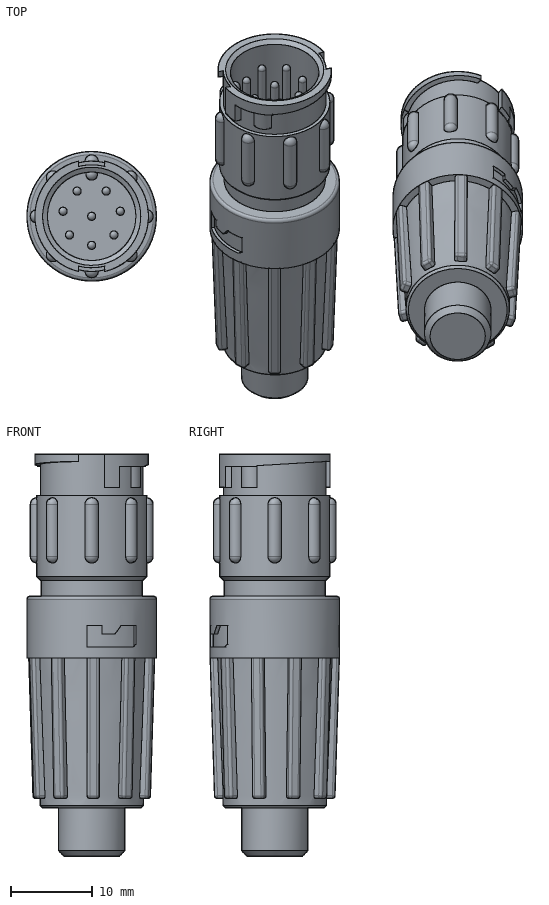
import cadquery as cq
import math

STEM_BOTTOM = 0.0
GRIP_BOTTOM = 5.97
RIB_FOOT = 7.13
COLLAR_BOTTOM = 24.45
COLLAR_TOP = 32.1
RING_BOTTOM = 34.0
RING_TOP = 44.5
PLUG_TOP = 49.59

STEM_RADIUS = 4.1
STEM_CHAMFER = 0.7
GRIP_END_RADIUS = 6.38
GRIP_END_CHAMFER = 0.3
GRIP_TOP_RADIUS = 7.1
COLLAR_RADIUS = 8.0
COLLAR_FILLET = 0.4
NECK_RADIUS = 6.25
RING_RADIUS = 6.8
RING_CHAMFER = 0.5
PLUG_RADIUS = 6.35

BORE_RADIUS = 5.45
BORE_FLOOR = 40.5
BORE_MOUTH_RADIUS = 6.05
BORE_CHAMFER_DEPTH = 0.4
PIN_RADIUS = 0.5
PIN_CIRCLE_RADIUS = 3.58
PIN_STEP = 50
PINS_ON_CIRCLE = 7
PIN_TIP = 47.6
KEY_RADIUS = 0.7
KEY_OFFSET = 5.15
KEY_TIP = 48.7

RIM_RADIUS = 7.0
RIM_SLOT_HALF = 1.6
RIM_THIN_Z = 48.73
RIM_THICK_Z = 48.18
RIM_FLAT_Z = 48.05
LEG_BOTTOM = 45.5
LEG_OUTER_X = 3.43
BUMP_PEAK_RADIUS = 6.76
BUMP_ANGLE = 60
BUMP_HALF_ANGLE = 10

RING_RIBS = 8
RING_RIB_RADIUS = 0.83
RING_RIB_OFFSET = 6.75
RING_RIB_BOTTOM = 37.0
RING_RIB_TOP = 43.4

GRIP_RIBS = 10
GRIP_RIB_TURN = 1.6
GRIP_RIB_ROOT_RADIUS = 5.5
GRIP_RIB_WIDTH = 1.5
GRIP_RIB_FOOT_RADIUS = 7.42
GRIP_RIB_TOP_RADIUS = 7.97
GRIP_RIB_FILLET = 0.35

MARK_FLOOR_RADIUS = 7.6
MARK_BOTTOM = 25.8
MARK_TOP = 28.45
MARK_STEP_Z = 27.42
MARK_LEFT = -0.58
MARK_RIGHT = 5.49
MARK_STEP_LEFT = 1.29
MARK_STEP_RIGHT = 2.87
MARK_RAMP_RIGHT = 3.62
MARK_CORNER = 0.4

REACH = 10.0


def turned(z, radius, height):
    """Cylinder on the Z axis that starts at height z."""
    return cq.Workplane("XY").workplane(offset=z).circle(radius).extrude(height)


def turn(shape, angle):
    return shape.rotate((0, 0, 0), (0, 0, 1), angle)


def make_body():
    profile = (
        cq.Workplane("XZ")
        .moveTo(0, STEM_BOTTOM)
        .lineTo(STEM_RADIUS - STEM_CHAMFER, STEM_BOTTOM)
        .lineTo(STEM_RADIUS, STEM_BOTTOM + STEM_CHAMFER)
        .lineTo(STEM_RADIUS, GRIP_BOTTOM)
        .lineTo(GRIP_END_RADIUS - GRIP_END_CHAMFER, GRIP_BOTTOM)
        .lineTo(GRIP_END_RADIUS, GRIP_BOTTOM + GRIP_END_CHAMFER)
        .lineTo(GRIP_TOP_RADIUS, COLLAR_BOTTOM)
        .lineTo(COLLAR_RADIUS, COLLAR_BOTTOM)
        .lineTo(COLLAR_RADIUS, COLLAR_TOP - COLLAR_FILLET)
        .radiusArc((COLLAR_RADIUS - COLLAR_FILLET, COLLAR_TOP), -COLLAR_FILLET)
        .lineTo(NECK_RADIUS, COLLAR_TOP)
        .lineTo(NECK_RADIUS, RING_BOTTOM)
        .lineTo(RING_RADIUS - RING_CHAMFER, RING_BOTTOM)
        .lineTo(RING_RADIUS, RING_BOTTOM + RING_CHAMFER)
        .lineTo(RING_RADIUS, RING_TOP)
        .lineTo(PLUG_RADIUS, RING_TOP)
        .lineTo(PLUG_RADIUS, PLUG_TOP)
        .lineTo(0, PLUG_TOP)
        .close()
    )
    return profile.revolve(360, (0, 0, 0), (0, 1, 0))


def make_bore():
    profile = (
        cq.Workplane("XZ")
        .moveTo(0, BORE_FLOOR)
        .lineTo(BORE_RADIUS, BORE_FLOOR)
        .lineTo(BORE_RADIUS, PLUG_TOP - BORE_CHAMFER_DEPTH)
        .lineTo(BORE_MOUTH_RADIUS, PLUG_TOP)
        .lineTo(0, PLUG_TOP)
        .close()
    )
    return profile.revolve(360, (0, 0, 0), (0, 1, 0))


def make_domed_post(x, y, radius, tip):
    """Round post that rises from just under the bore floor to a half-sphere tip."""
    root = BORE_FLOOR - radius
    dome_centre = tip - radius
    shaft = turned(root, radius, dome_centre - root)
    dome = cq.Workplane("XY").sphere(radius).translate((0, 0, dome_centre))
    return shaft.union(dome).translate((x, y, 0))


def make_contacts():
    contacts = make_domed_post(0, 0, PIN_RADIUS, PIN_TIP)
    for index in range(PINS_ON_CIRCLE):
        angle = math.radians(-90 + (index - PINS_ON_CIRCLE // 2) * PIN_STEP)
        x = PIN_CIRCLE_RADIUS * math.cos(angle)
        y = PIN_CIRCLE_RADIUS * math.sin(angle)
        contacts = contacts.union(make_domed_post(x, y, PIN_RADIUS, PIN_TIP))
    return contacts


def make_bump():
    """Rounded detent beside the leg, bulging from the plug wall."""

    def point(radius, offset):
        angle = math.radians(90 + BUMP_ANGLE + offset)
        return radius * math.cos(angle), radius * math.sin(angle)

    return (
        cq.Workplane("XY")
        .workplane(offset=LEG_BOTTOM)
        .moveTo(*point(BORE_MOUTH_RADIUS, 0))
        .lineTo(*point(PLUG_RADIUS, -BUMP_HALF_ANGLE))
        .threePointArc(point(BUMP_PEAK_RADIUS, 0), point(PLUG_RADIUS, BUMP_HALF_ANGLE))
        .close()
        .extrude(RIM_THIN_Z - LEG_BOTTOM)
    )


def make_half_rim():
    """Rim on the -X side: a ramped underside, then a leg and a detent near +Y."""
    bump_end_y = PLUG_RADIUS * math.cos(math.radians(BUMP_ANGLE + BUMP_HALF_ANGLE))
    band = (
        cq.Workplane("YZ")
        .moveTo(-RIM_RADIUS, PLUG_TOP)
        .lineTo(-RIM_RADIUS, RIM_THIN_Z)
        .lineTo(bump_end_y, RIM_THICK_Z)
        .lineTo(bump_end_y, RIM_FLAT_Z)
        .lineTo(RIM_RADIUS, RIM_FLAT_Z)
        .lineTo(RIM_RADIUS, PLUG_TOP)
        .close()
        .extrude(-(RIM_RADIUS - RIM_SLOT_HALF))
        .translate((-RIM_SLOT_HALF, 0, 0))
    )
    height = PLUG_TOP - LEG_BOTTOM
    leg_width = LEG_OUTER_X - RIM_SLOT_HALF
    leg = cq.Workplane("XY").box(leg_width, RIM_RADIUS, height, centered=False)
    leg = leg.translate((-LEG_OUTER_X, 0, LEG_BOTTOM))
    sleeve = turned(LEG_BOTTOM, RIM_RADIUS, height).cut(
        turned(LEG_BOTTOM, BORE_MOUTH_RADIUS, height)
    )
    return band.union(leg).intersect(sleeve).union(make_bump())


def make_ring_rib():
    rib = turned(RING_RIB_BOTTOM, RING_RIB_RADIUS, RING_RIB_TOP - RING_RIB_BOTTOM)
    for end in (RING_RIB_BOTTOM, RING_RIB_TOP):
        rib = rib.union(cq.Workplane("XY").sphere(RING_RIB_RADIUS).translate((0, 0, end)))
    return rib.translate((RING_RIB_OFFSET, 0, 0))


def make_grip_rib():
    """Straight-sided rib with a sloping face, rounded along the face and over the foot."""
    rib = (
        cq.Workplane("XZ")
        .moveTo(GRIP_RIB_ROOT_RADIUS, RIB_FOOT)
        .lineTo(GRIP_RIB_FOOT_RADIUS, RIB_FOOT)
        .lineTo(GRIP_RIB_TOP_RADIUS, COLLAR_BOTTOM)
        .lineTo(GRIP_RIB_ROOT_RADIUS, COLLAR_BOTTOM)
        .close()
        .extrude(GRIP_RIB_WIDTH / 2, both=True)
    )
    face_edges = rib.faces(">X").edges("not >Z")
    foot_sides = rib.faces("<Z").edges("|X")
    return face_edges.add(foot_sides).fillet(GRIP_RIB_FILLET)


def make_mark():
    """Shallow stepped recess on the -Y side of the collar, its +X end wall radial."""
    outline = (
        cq.Workplane("XZ")
        .moveTo(MARK_LEFT, MARK_BOTTOM)
        .lineTo(MARK_RIGHT - MARK_CORNER, MARK_BOTTOM)
        .lineTo(MARK_RIGHT, MARK_BOTTOM + MARK_CORNER)
        .lineTo(MARK_RIGHT, MARK_TOP)
        .lineTo(MARK_RAMP_RIGHT, MARK_TOP)
        .lineTo(MARK_STEP_RIGHT, MARK_STEP_Z)
        .lineTo(MARK_STEP_LEFT, MARK_STEP_Z)
        .lineTo(MARK_STEP_LEFT, MARK_TOP)
        .lineTo(MARK_LEFT, MARK_TOP)
        .close()
        .extrude(REACH)
    )
    end_y = -math.sqrt(COLLAR_RADIUS**2 - MARK_RIGHT**2)
    beyond_end = (MARK_RIGHT * REACH / -end_y, -REACH)
    height = MARK_TOP - MARK_BOTTOM
    sector = (
        cq.Workplane("XY")
        .workplane(offset=MARK_BOTTOM)
        .polyline([(0, 0), beyond_end, (-REACH, -REACH), (-REACH, 0)])
        .close()
        .extrude(height)
    )
    core = turned(MARK_BOTTOM, MARK_FLOOR_RADIUS, height)
    return outline.intersect(sector).cut(core)


result = make_body()

half_rim = make_half_rim()
mark = make_mark()
for half_turn in (0, 180):
    result = result.union(turn(half_rim, half_turn))
    result = result.cut(turn(mark, half_turn))

ring_rib = make_ring_rib()
for index in range(RING_RIBS):
    result = result.union(turn(ring_rib, index * 360 / RING_RIBS))

grip_rib = make_grip_rib()
for index in range(GRIP_RIBS):
    result = result.union(turn(grip_rib, -90 + GRIP_RIB_TURN + index * 360 / GRIP_RIBS))

result = result.cut(make_bore())
result = result.union(make_contacts())
result = result.union(make_domed_post(0, KEY_OFFSET, KEY_RADIUS, KEY_TIP))